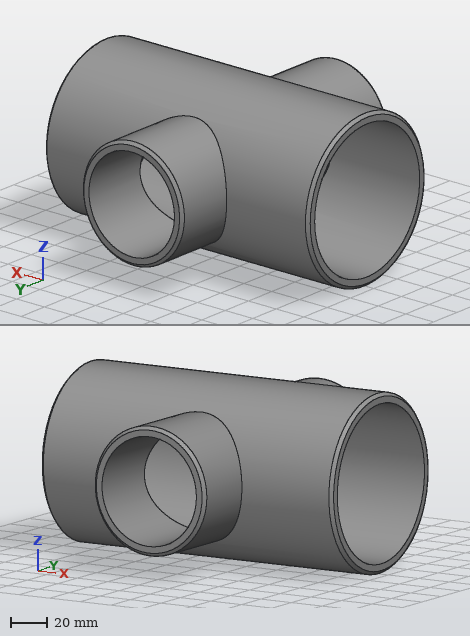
import cadquery as cq

run_length = 190.5
run_diameter = 101.5
run_bore = 90.1

branch_span = 177.7
branch_diameter = 73.0
branch_bore = 61.7

end_chamfer = 2.0


def centred_cylinder(plane, diameter, length):
    """Cylinder centred on the origin, along the normal of the given plane."""
    return cq.Workplane(plane).circle(diameter / 2).extrude(length / 2, both=True)


run = centred_cylinder("YZ", run_diameter, run_length).faces("<X or >X").chamfer(end_chamfer)
branches = centred_cylinder("XZ", branch_diameter, branch_span).faces("<Y or >Y").chamfer(end_chamfer)

run_hole = centred_cylinder("YZ", run_bore, run_length)
branch_hole = centred_cylinder("XZ", branch_bore, branch_span)

result = run.union(branches).cut(run_hole).cut(branch_hole)